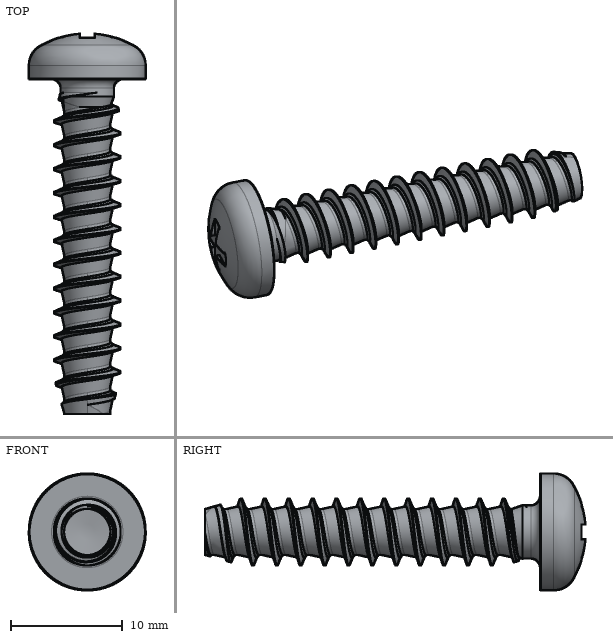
import cadquery as cq
import math


head_radius = 5.25
head_height = 4.14
head_rim_height = 1.23
head_corner_radius = 2.04
dome_edge_radius = 4.07
head_edge_chamfer = 0.08

slot_width = 1.3
slot_depth = 0.4

shank_length = 30.0
neck_radius = 2.4
neck_fillet = 0.8
neck_end = 1.55
core_start = 2.5
core_radius = 2.07
tip_dimple_depth = 0.2

pitch = 2.14
thread_turns = 14
thread_start = 0.56
crest_radius = 3.0
crest_half_width = 0.04
root_overlap = 0.04
fade_length = 3.3
fade_radius = 2.06
crest_clearance = 0.1
foot_radius = 2.3
upper_foot_offset = 0.32
upper_slope_offset = 0.52
lower_foot_offset = 0.25
lower_slope_offset = 1.3


def make_body():
    """Head, neck and threadless core as one revolved solid."""
    corner_center_radius = head_radius - head_corner_radius
    dome_edge_angle = math.acos((dome_edge_radius - corner_center_radius) / head_corner_radius)
    dome_edge_height = head_rim_height + head_corner_radius * math.sin(dome_edge_angle)
    corner_mid = (
        corner_center_radius + head_corner_radius * math.cos(dome_edge_angle / 2),
        -head_rim_height - head_corner_radius * math.sin(dome_edge_angle / 2),
    )
    dome_rise = head_height - dome_edge_height
    dome_radius = (dome_edge_radius**2 + dome_rise**2) / (2 * dome_rise)
    dome_mid_radius = dome_edge_radius / 2
    dome_mid_height = head_height - dome_radius + math.sqrt(dome_radius**2 - dome_mid_radius**2)
    fillet_mid_offset = neck_fillet * (1 - math.sqrt(0.5))

    profile = (
        cq.Workplane("YZ")
        .moveTo(0, -head_height)
        .threePointArc((dome_mid_radius, -dome_mid_height), (dome_edge_radius, -dome_edge_height))
        .threePointArc(corner_mid, (head_radius, -head_rim_height))
        .lineTo(head_radius, -head_edge_chamfer)
        .lineTo(head_radius - head_edge_chamfer, 0)
        .lineTo(neck_radius + neck_fillet, 0)
        .threePointArc((neck_radius + fillet_mid_offset, fillet_mid_offset), (neck_radius, neck_fillet))
        .lineTo(neck_radius, neck_end)
        .lineTo(core_radius, core_start)
        .lineTo(core_radius, shank_length)
        .lineTo(0, shank_length)
        .close()
    )
    return profile.revolve(360, (0, 0, 0), (0, 1, 0))


def make_thread_ridge():
    """Full-height helical ridge with a sharp crest and sloping root on both sides.

    Its section dips slightly into the core so that the two solids overlap.
    """
    upper_slope = (foot_radius - core_radius) / (upper_slope_offset - upper_foot_offset)
    lower_slope = (foot_radius - core_radius) / (lower_slope_offset - lower_foot_offset)
    root_radius = core_radius - root_overlap
    section = (
        cq.Workplane("XZ")
        .polyline([
            (root_radius, thread_start - upper_slope_offset - root_overlap / upper_slope),
            (foot_radius, thread_start - upper_foot_offset),
            (crest_radius, thread_start - crest_half_width),
            (crest_radius, thread_start + crest_half_width),
            (foot_radius, thread_start + lower_foot_offset),
            (root_radius, thread_start + lower_slope_offset + root_overlap / lower_slope),
        ])
        .close()
    )
    helix = cq.Wire.makeHelix(pitch, pitch * thread_turns, core_radius, cq.Vector(0, 0, thread_start))
    return section.sweep(cq.Workplane(obj=helix), isFrenet=True)


def make_thread_envelope():
    """Double cone-ended round body that fades the thread height in at the neck and out at the tip."""
    envelope_radius = crest_radius + crest_clearance
    fade_slope = (crest_radius - fade_radius) / fade_length
    cone_length = (envelope_radius - fade_radius) / fade_slope
    return (
        cq.Workplane("YZ")
        .polyline([
            (0, 0),
            (fade_radius, 0),
            (envelope_radius, cone_length),
            (envelope_radius, shank_length - cone_length),
            (fade_radius, shank_length),
            (0, shank_length),
        ])
        .close()
        .revolve(360, (0, 0, 0), (0, 1, 0))
    )


def cut_cross_slot(screw):
    """Two crossed straight slots over the top of the dome."""
    slot_center = -head_height + slot_depth / 2
    slot_length = 2 * head_radius
    for length_x, length_y in [(slot_length, slot_width), (slot_width, slot_length)]:
        bar = cq.Workplane("XY").box(length_x, length_y, slot_depth)
        screw = screw.cut(bar.translate((0, 0, slot_center)))
    return screw


def cut_tip_dimple(screw):
    """Very shallow cone sunk into the flat end of the shank."""
    cone = (
        cq.Workplane("YZ")
        .polyline([
            (0, shank_length - tip_dimple_depth),
            (core_radius, shank_length),
            (0, shank_length),
        ])
        .close()
        .revolve(360, (0, 0, 0), (0, 1, 0))
    )
    return screw.cut(cone)


thread = make_thread_ridge().intersect(make_thread_envelope())
screw = make_body().union(thread)
screw = cut_tip_dimple(screw)
screw = cut_cross_slot(screw)

result = screw.rotate((0, 0, 0), (1, 0, 0), 90)